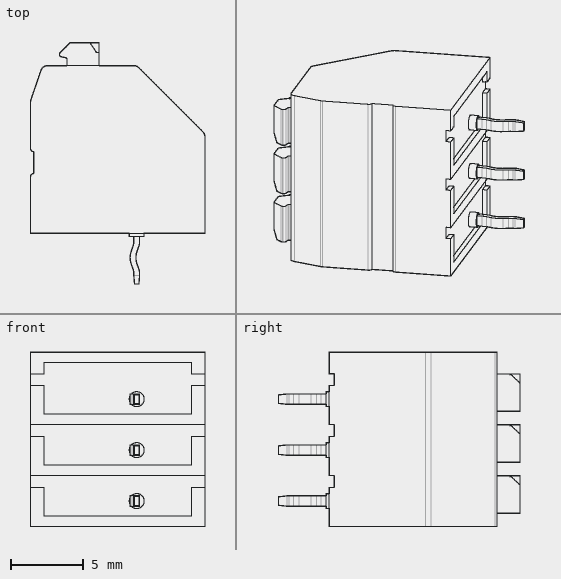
import cadquery as cq
import math


pole_count = 3
body_width = 12.0
body_depth = 11.54
body_height = 12.0
pole_pitch = 3.5
overall_depth = 16.6

lead_in_width = 0.83
lead_in_length = 2.42
slant_leg = 4.7
corner_radius = 0.5
side_groove_start = 3.9
side_groove_end = 5.83
side_groove_depth = 0.22

recess_depth = 0.33
side_wall = 0.93
rib_top = 0.73
side_wall_top = 2.7
top_wall = 0.73

pin_x = 7.3
pin_z_in_pole = 1.76
collar_radius = 0.51
collar_height = 0.22
pin_length = 3.49
pin_thickness = 0.42
pin_height = 0.73
pin_bend_start = 0.73
pin_bend_end = 2.6
pin_bend_offset = 0.33
pin_end_bend_radius = 0.91
pin_peak_bend_radius = 1.25
pin_taper_start = 2.89
pin_tip_thickness = 0.32
pin_tip_height = 0.6

lever_left = 2.5
lever_right = 4.71
lever_height = 2.59
lever_rise = overall_depth - body_depth - pin_length
lever_top_left = 2.72
nose_x = 2.0
nose_round = 0.17
nose_bottom_drop = 0.96
underside_end_drop = 1.06
underside_round = 0.08

driver_groove_depth = 0.68
driver_groove_floor = 0.13
driver_groove_wall_angle = 61.0
driver_groove_turn = 55.0


def round_upright_edge(solid, x, y, radius):
    """Fillet the Z-parallel edge at (x, y)."""
    mid_z = solid.val().Center().z
    return solid.edges("|Z").edges(cq.NearestToPointSelector((x, y, mid_z))).fillet(radius)


def make_housing():
    slant_top_x = body_width - slant_leg
    slant_bottom_y = body_depth - slant_leg
    lead_in_y = body_depth - lead_in_length
    outline = [
        (0, 0),
        (body_width, 0),
        (body_width, slant_bottom_y),
        (slant_top_x, body_depth),
        (lead_in_width, body_depth),
        (0, lead_in_y),
    ]
    housing = cq.Workplane("XY").polyline(outline).close().extrude(body_height)
    corners_to_round = outline[2:]
    for x, y in corners_to_round:
        housing = round_upright_edge(housing, x, y, corner_radius)

    quarter = side_groove_depth * math.sqrt(0.5)
    side_groove = (
        cq.Workplane("XY")
        .moveTo(0, side_groove_start)
        .threePointArc(
            (side_groove_depth - quarter, side_groove_start + quarter),
            (side_groove_depth, side_groove_start + side_groove_depth),
        )
        .lineTo(side_groove_depth, side_groove_end - side_groove_depth)
        .threePointArc(
            (side_groove_depth - quarter, side_groove_end - quarter),
            (0, side_groove_end),
        )
        .close()
        .extrude(body_height)
    )
    return housing.cut(side_groove)


def front_cut(x_start, x_end, z_start, z_end):
    """Block of recess depth in the pin face."""
    size = (x_end - x_start, recess_depth, z_end - z_start)
    return cq.Workplane("XY").box(*size, centered=False).translate((x_start, 0, z_start))


def cut_recesses(housing):
    for pole in range(pole_count):
        base_z = pole * pole_pitch
        pole_top = base_z + pole_pitch
        is_top_pole = pole == pole_count - 1
        inner_top = body_height - top_wall if is_top_pole else pole_top
        inner = front_cut(side_wall, body_width - side_wall, base_z + rib_top, inner_top)
        side_openings = front_cut(0, body_width, base_z + side_wall_top, pole_top)
        housing = housing.cut(inner).cut(side_openings)
    return housing


def make_pin():
    """Pin with one sideways kink and a tapered tip, centred on Z = 0."""
    half = pin_thickness / 2
    bend_middle = (pin_bend_start + pin_bend_end) / 2
    bends = [
        (pin_x, -pin_bend_start, pin_end_bend_radius),
        (pin_x - pin_bend_offset, -bend_middle, pin_peak_bend_radius),
        (pin_x, -pin_bend_end, pin_end_bend_radius),
    ]
    centre_line = [(pin_x, recess_depth)]
    centre_line += [(x, y) for x, y, _ in bends]
    centre_line += [(pin_x, -pin_taper_start)]
    left_side = [(x - half, y) for x, y in centre_line]
    right_side = [(x + half, y) for x, y in reversed(centre_line)]

    shank = (
        cq.Workplane("XY")
        .polyline(left_side + right_side)
        .close()
        .extrude(pin_height / 2, both=True)
    )
    for x, y, radius in bends:
        for side in (-half, half):
            shank = round_upright_edge(shank, x + side, y, radius)

    tip = (
        cq.Workplane("XZ", origin=(pin_x, -pin_taper_start, 0))
        .rect(pin_thickness, pin_height)
        .workplane(offset=pin_length - pin_taper_start)
        .rect(pin_tip_thickness, pin_tip_height)
        .loft()
    )
    collar = (
        cq.Workplane("XZ", origin=(pin_x, recess_depth, 0))
        .circle(collar_radius)
        .extrude(recess_depth + collar_height)
    )
    return shank.union(tip).union(collar)


def make_lever():
    """Release lever with a hooked nose, standing on Z = 0."""
    top_y = body_depth + lever_rise
    nose_top = (nose_x, top_y - (lever_top_left - nose_x))
    nose_bottom = (nose_x, top_y - nose_bottom_drop)
    underside_end = (lever_left, top_y - underside_end_drop)
    outline = [
        (lever_left, body_depth),
        (lever_right, body_depth),
        (lever_right, top_y),
        (lever_top_left, top_y),
        nose_top,
        nose_bottom,
        underside_end,
    ]
    lever = cq.Workplane("XY").polyline(outline).close().extrude(lever_height)
    lever = round_upright_edge(lever, *nose_top, nose_round)
    lever = round_upright_edge(lever, *nose_bottom, nose_round)
    lever = round_upright_edge(lever, *underside_end, underside_round)

    flare = driver_groove_depth / math.tan(math.radians(driver_groove_wall_angle))
    floor_half = driver_groove_floor / 2
    mouth_half = floor_half + flare
    groove_length = 2 * (lever_right - nose_x + lever_height)
    middle = ((lever_top_left + lever_right) / 2, top_y, lever_height / 2)
    driver_groove = (
        cq.Workplane("YZ")
        .polyline([
            (0, -mouth_half),
            (-driver_groove_depth, -floor_half),
            (-driver_groove_depth, floor_half),
            (0, mouth_half),
        ])
        .close()
        .extrude(groove_length / 2, both=True)
        .rotate((0, 0, 0), (0, 1, 0), -driver_groove_turn)
        .translate(middle)
    )
    return lever.cut(driver_groove)


result = cut_recesses(make_housing())
pin = make_pin()
lever = make_lever()
for pole in range(pole_count):
    base_z = pole * pole_pitch
    lever_z = base_z + pole_pitch - lever_height
    result = result.union(pin.translate((0, 0, base_z + pin_z_in_pole)))
    result = result.union(lever.translate((0, 0, lever_z)))